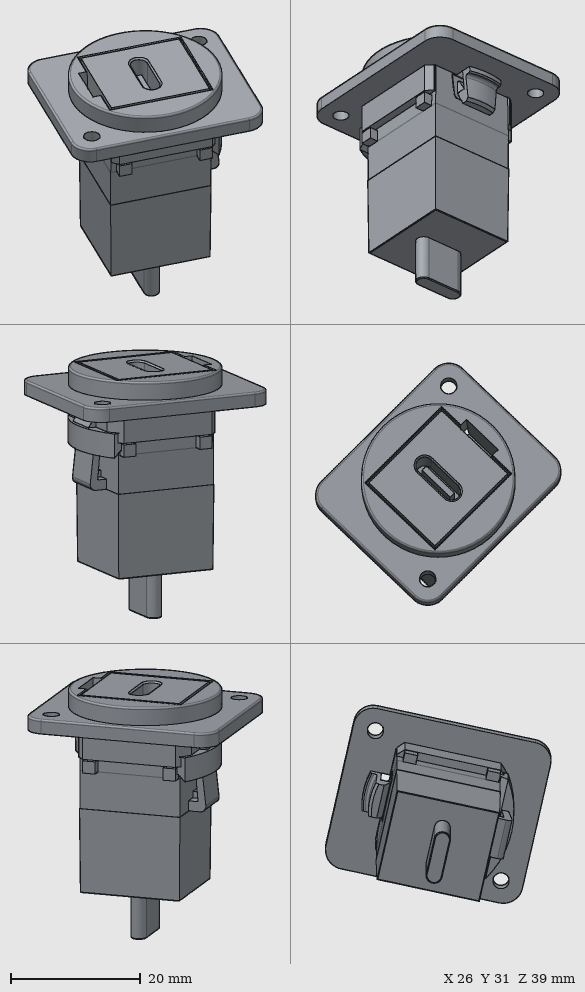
import cadquery as cq
import math


total_height = 39.0
top_z = 5.15
bottom_z = top_z - total_height

flange_x, flange_y = 26.0, 31.0
flange_thickness = 2.3
flange_corner_radius = 3.05
rim_rounding = 0.3
disc_diameter = 23.67
screw_hole_diameter = 2.5
screw_hole_x, screw_hole_y = 9.5, 12.0

opening_x, opening_y = 14.82, 16.58
opening_chamfer = 0.15
latch_slot_width_top = 6.8
latch_slot_width_bottom = 6.3
latch_slot_y = -9.67

skirt_radius = 11.78
latch_gap_y = 7.9
skirt_half_x = 8.7
skirt_back_y = 9.8
skirt_front_y = -8.2
skirt_front_chamfer = 1.0
skirt_bottom_z = -4.65
skirt_back_bottom_z = -3.05
ramp_top_z = -1.1
ramp_tip_y = 11.08
catch_width = 5.45
root_overlap = 0.4

finger_radius = 10.75
finger_root_depth = 1.0
finger_root_chamfer = 0.25
finger_root_fillet = 0.45
finger_bottom_z = -5.45
finger_end_chamfer = 0.45
finger_foot_y = -9.13
finger_half_width_top = 3.15
finger_half_width_bottom = 2.65
hook_top_z = -3.15
hook_lip_z = -3.55
hook_tip_y = -8.2

insert_x, insert_y = 14.55, 16.3
insert_draft_inset = 0.15
insert_draft_start_z = -6.82
joint_z = -12.9
lug_top_z = -4.88
lug_depth_y = 2.03
lug_back_y = 7.9
lug_front_y = -7.18
recess_half_width_top = 3.85
recess_half_width_bottom = 3.4
recess_bottom_z = -4.17
recess_corner_radius = 0.78
recess_depth = 0.25
catch_top_z = -0.85
catch_bottom_z = -3.05
catch_tip_y = -9.35
catch_tip_width = 4.75

socket_length, socket_width = 8.55, 2.7
socket_chamfer = 0.27
socket_depth = 6.25
tongue_length, tongue_width = 6.1, 0.95
tongue_recess = 2.35

head_half_x = 8.05
head_top_z = -3.15
head_bottom_z = -7.0
head_back_y = 11.6
head_side_y = 9.25
head_chamfer_z = -5.93
arm_width = 6.25
arm_top_outer_y, arm_top_inner_y = 10.4, 9.32
arm_foot_outer_y, arm_foot_inner_y = 11.08, 9.67
arm_root_thickness = 1.6
arm_outer_radius = 0.95
arm_inner_radius = 0.2
gusset_height = 1.0
gusset_width = 2.35

shell_x, shell_y = 14.65, 16.38
shell_bottom_z = -26.32
shell_draft_inset = 0.1
shell_edge_chamfer = 0.1
plug_length, plug_width = 8.3, 2.5
plug_edge_chamfer = 0.15


def box_between(x0, x1, y0, y1, z0, z1):
    """Axis-aligned box given by its limits."""
    return cq.Workplane("XY").box(x1 - x0, y1 - y0, z1 - z0, centered=False).translate((x0, y0, z0))


def extrude_along_x(points, width):
    """Prism of a (y, z) outline, centred on X = 0."""
    return cq.Workplane("YZ").polyline(points).close().extrude(width / 2, both=True)


def flange_and_disc():
    flange = cq.Workplane("XY").rect(flange_x, flange_y).extrude(flange_thickness)
    flange = flange.edges("|Z").fillet(flange_corner_radius)
    flange = flange.faces(">Z").edges().fillet(rim_rounding)
    disc = cq.Workplane("XY").circle(disc_diameter / 2).extrude(top_z)
    disc = disc.faces(">Z").edges().fillet(rim_rounding)
    return flange.union(disc)


def skirt():
    """Round collar with flat sides, open at the front, with the back wall cut short for the latch."""
    collar = cq.Workplane("XY").circle(skirt_radius).extrude(skirt_bottom_z)
    flats = box_between(-skirt_half_x, skirt_half_x, skirt_front_y, skirt_back_y, skirt_bottom_z, 0)
    flats = flats.faces("<Y").edges("|Z").chamfer(skirt_front_chamfer)
    latch_gap = box_between(-head_half_x, head_half_x, latch_gap_y, skirt_radius,
                            skirt_bottom_z, skirt_back_bottom_z)
    return collar.intersect(flats).cut(latch_gap)


def skirt_ramp():
    """Sloped tooth on the outside of the back wall."""
    root_y = skirt_back_y - root_overlap
    outline = [(root_y, ramp_top_z), (skirt_back_y, ramp_top_z),
               (ramp_tip_y, skirt_back_bottom_z), (root_y, skirt_back_bottom_z)]
    return extrude_along_x(outline, catch_width)


def spring_finger():
    """Hooked finger: round outside, flat inside, narrowing downwards."""
    fillet_mid = finger_root_fillet * (1 - math.sqrt(0.5))
    round_body = (
        cq.Workplane("XZ")
        .lineTo(skirt_radius, 0)
        .lineTo(skirt_radius, finger_root_chamfer - finger_root_depth)
        .lineTo(skirt_radius - finger_root_chamfer, -finger_root_depth)
        .lineTo(finger_radius + finger_root_fillet, -finger_root_depth)
        .threePointArc((finger_radius + fillet_mid, -finger_root_depth - fillet_mid),
                       (finger_radius, -finger_root_depth - finger_root_fillet))
        .lineTo(finger_radius, finger_bottom_z + finger_end_chamfer)
        .lineTo(finger_radius - finger_end_chamfer, finger_bottom_z)
        .lineTo(0, finger_bottom_z)
        .close()
        .revolve(360, (0, 0), (0, 1))
    )
    inside = [
        (-skirt_radius, 0),
        (latch_slot_y, 0),
        (latch_slot_y, hook_top_z),
        (hook_tip_y, hook_top_z),
        (hook_tip_y, hook_lip_z),
        (finger_foot_y, finger_bottom_z),
        (-skirt_radius, finger_bottom_z),
    ]
    front_outline = [
        (-finger_half_width_top, 0),
        (finger_half_width_top, 0),
        (finger_half_width_bottom, finger_bottom_z),
        (-finger_half_width_bottom, finger_bottom_z),
    ]
    taper = cq.Workplane("XZ").polyline(front_outline).close().extrude(skirt_radius)
    hook = extrude_along_x(inside, 2 * finger_half_width_top)
    return hook.intersect(round_body).intersect(taper)


def latch_slot():
    """Pocket in front of the opening, narrowing downwards."""
    outline = [
        (-latch_slot_width_top / 2, top_z),
        (latch_slot_width_top / 2, top_z),
        (latch_slot_width_bottom / 2, 0),
        (-latch_slot_width_bottom / 2, 0),
    ]
    return cq.Workplane("XZ").polyline(outline).close().extrude(-latch_slot_y)


def build_housing():
    housing = flange_and_disc().union(skirt()).union(skirt_ramp())
    opening = (cq.Workplane("XY").workplane(offset=skirt_bottom_z)
               .rect(opening_x, opening_y).extrude(top_z - skirt_bottom_z))
    housing = housing.cut(opening)
    opening_flare = (cq.Workplane("XY").workplane(offset=top_z)
                     .rect(opening_x + 2 * opening_chamfer, opening_y + 2 * opening_chamfer)
                     .extrude(-opening_chamfer, taper=45))
    screw_holes = (cq.Workplane("XY")
                   .pushPoints([(-screw_hole_x, screw_hole_y), (screw_hole_x, -screw_hole_y)])
                   .circle(screw_hole_diameter / 2).extrude(flange_thickness))
    housing = housing.cut(opening_flare).cut(latch_slot()).cut(screw_holes)
    return housing.union(spring_finger())


def insert_core():
    """Straight block below, slightly drafted block above."""
    straight = (cq.Workplane("XY").workplane(offset=joint_z)
                .rect(insert_x, insert_y).extrude(insert_draft_start_z - joint_z))
    draft_height = top_z - insert_draft_start_z
    draft = math.degrees(math.atan(insert_draft_inset / draft_height))
    drafted = (cq.Workplane("XY").workplane(offset=insert_draft_start_z)
               .rect(insert_x, insert_y).extrude(draft_height, taper=draft))
    return straight.union(drafted)


def side_lugs():
    """Four stops under the skirt, two on each side."""
    lugs = cq.Workplane("XY")
    for back_y in (lug_back_y, lug_front_y + lug_depth_y):
        bar = box_between(-skirt_half_x, skirt_half_x, back_y - lug_depth_y, back_y,
                          insert_draft_start_z, lug_top_z)
        lugs = lugs.union(bar)
    return lugs


def front_recess():
    outline = [
        (-recess_half_width_top, 0),
        (recess_half_width_top, 0),
        (recess_half_width_bottom, recess_bottom_z),
        (-recess_half_width_bottom, recess_bottom_z),
    ]
    recess = (cq.Workplane("XZ", origin=(0, recess_depth - insert_y / 2, 0))
              .polyline(outline).close().extrude(recess_depth))
    return recess.edges("|Y and <Z").fillet(recess_corner_radius)


def front_catch():
    """Sloped tooth above the hook of the spring finger, narrowing to its tip."""
    root_y = root_overlap - insert_y / 2
    outline = [(root_y, catch_bottom_z), (root_y, catch_top_z), (skirt_front_y, catch_top_z),
               (catch_tip_y, catch_bottom_z)]
    plan = [
        (-catch_width / 2, root_y),
        (catch_width / 2, root_y),
        (catch_tip_width / 2, catch_tip_y),
        (-catch_tip_width / 2, catch_tip_y),
    ]
    taper = cq.Workplane("XY").polyline(plan).close().extrude(catch_bottom_z)
    return extrude_along_x(outline, catch_width).intersect(taper)


def latch_head():
    """Wide thumb pad with a curved back."""
    root_y = insert_y / 2 - insert_draft_inset
    plan = (cq.Workplane("XY").workplane(offset=head_bottom_z)
            .moveTo(-head_half_x, root_y)
            .lineTo(-head_half_x, head_side_y)
            .threePointArc((0, head_back_y), (head_half_x, head_side_y))
            .lineTo(head_half_x, root_y)
            .close()
            .extrude(head_top_z - head_bottom_z))
    underside = [(root_y, head_bottom_z), (head_side_y, head_bottom_z),
                 (insert_y / 2, head_chamfer_z), (root_y, head_chamfer_z)]
    return plan.cut(extrude_along_x(underside, 2 * head_half_x))


def latch_arm():
    """Leaning arm on a flat root, stiffened by a narrow gusset."""
    root_y = insert_y / 2
    root_top_z = joint_z + arm_root_thickness
    outline = [
        (root_y, joint_z),
        (arm_foot_outer_y, joint_z),
        (arm_top_outer_y, head_bottom_z),
        (arm_top_inner_y, head_bottom_z),
        (arm_foot_inner_y, root_top_z),
        (root_y, root_top_z),
    ]
    arm = extrude_along_x(outline, arm_width)
    outer_corner = cq.selectors.NearestToPointSelector((0, arm_foot_outer_y, joint_z))
    inner_corner = cq.selectors.NearestToPointSelector((0, arm_foot_inner_y, root_top_z))
    arm = arm.edges(outer_corner).fillet(arm_outer_radius)
    arm = arm.edges(inner_corner).fillet(arm_inner_radius)
    gusset = box_between(-gusset_width / 2, gusset_width / 2, root_y, arm_foot_inner_y,
                         root_top_z, root_top_z + gusset_height)
    return arm.union(gusset)


def socket():
    """Stadium-shaped well with a chamfered mouth and a tongue left standing in it."""
    mouth = cq.Workplane("XY").workplane(offset=top_z)
    well = mouth.slot2D(socket_length, socket_width).extrude(-socket_depth)
    flare = (mouth.slot2D(socket_length + 2 * socket_chamfer, socket_width + 2 * socket_chamfer)
             .extrude(-socket_chamfer, taper=45))
    tongue = (cq.Workplane("XY").workplane(offset=top_z - socket_depth)
              .rect(tongue_length, tongue_width).extrude(socket_depth - tongue_recess))
    return well.union(flare).cut(tongue)


def build_insert():
    insert = insert_core().union(side_lugs())
    insert = insert.cut(front_recess()).union(front_catch())
    insert = insert.union(latch_head()).union(latch_arm())
    return insert.cut(socket())


def build_rear_shell():
    height = joint_z - shell_bottom_z
    draft = math.degrees(math.atan(shell_draft_inset / height))
    shell = (cq.Workplane("XY").workplane(offset=joint_z)
             .rect(shell_x, shell_y).extrude(-height, taper=draft))
    shell = shell.faces("<Z").edges().chamfer(shell_edge_chamfer)
    plug = (cq.Workplane("XY").workplane(offset=shell_bottom_z)
            .slot2D(plug_length, plug_width).extrude(bottom_z - shell_bottom_z))
    plug = plug.faces("<Z").edges().chamfer(plug_edge_chamfer)
    return shell.union(plug)


housing = build_housing()
insert = build_insert()
rear_shell = build_rear_shell()
result = cq.Compound.makeCompound([body.solids().val() for body in (housing, insert, rear_shell)])